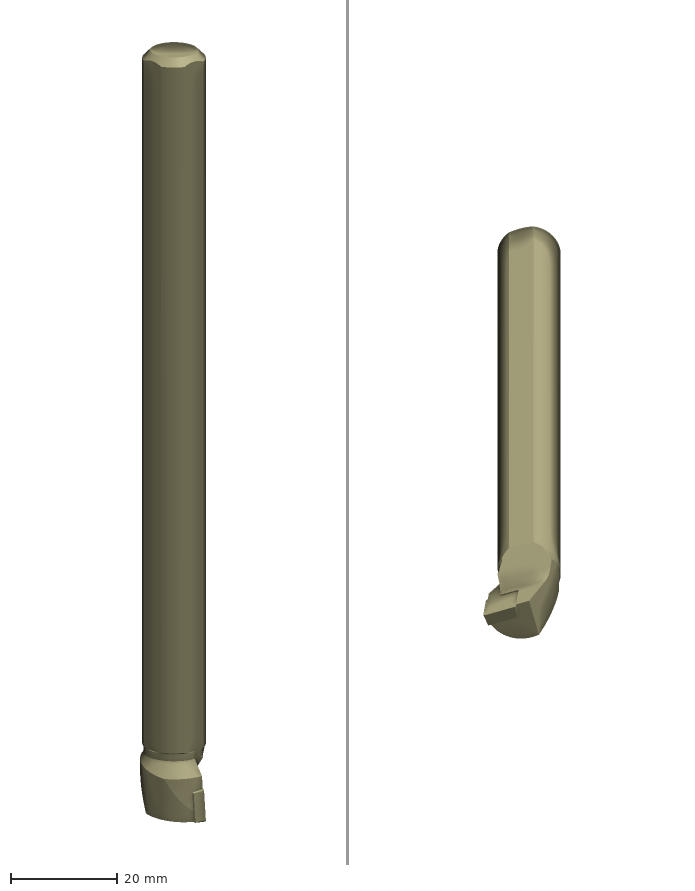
import cadquery as cq
import math

overall_length = 151.25

shank_radius = 6.0
flat_distance = 5.5
shank_bottom = 13.2
neck_radius = 5.75
top_chamfer = 1.5
bottom_chamfer = shank_radius - neck_radius

tip_reach = 8.89
inscribed_diameter = 6.35
insert_thickness = 2.38
tip_angle = 80.0
nose_radius = 0.4
relief_angle = 7.0
lead_angle = (90.0 - tip_angle) / 2
diagonal_angle = 45.0
edge_slope = math.tan(math.radians(lead_angle))

head_radius = 7.21
head_offset = head_radius - shank_radius
cone_top = 11.8
cone_bottom = 8.9
head_setback = 0.3
head_side_at_tip = tip_reach - head_setback
head_side_at_cone = head_side_at_tip - cone_bottom * edge_slope

back_top = 13.5
back_angle = 25.5
rake_height = 0.25
rake_top = 14.6
rake_fillet = 4.0
cut_size = 30.0


def make_shank():
    shank = (
        cq.Workplane("XY")
        .workplane(offset=shank_bottom)
        .circle(shank_radius)
        .extrude(overall_length - shank_bottom)
    )
    shank = shank.faces(">Z").chamfer(top_chamfer)
    shank = shank.faces("<Z").chamfer(bottom_chamfer)
    flats = cq.Workplane("XY").box(
        shank_radius + flat_distance, 2 * flat_distance, overall_length, centered=(False, True, False)
    )
    return shank.intersect(flats.translate((-shank_radius, 0, 0)))


def make_head():
    turned = (
        cq.Workplane("XZ")
        .moveTo(0, 0)
        .lineTo(head_side_at_tip, 0)
        .lineTo(head_side_at_cone, cone_bottom)
        .lineTo(neck_radius, cone_top)
        .lineTo(neck_radius, shank_bottom)
        .lineTo(0, shank_bottom)
        .close()
        .revolve(360, (0, 0, 0), (0, 1, 0))
    )
    round_head = cq.Workplane("XY").center(head_offset, 0).circle(head_radius).extrude(shank_bottom)
    return turned.intersect(round_head)


def make_back_cut():
    run = back_top * math.tan(math.radians(back_angle))
    return (
        cq.Workplane("XZ")
        .moveTo(-shank_radius, back_top)
        .lineTo(run - shank_radius, 0)
        .lineTo(-cut_size, 0)
        .lineTo(-cut_size, back_top)
        .close()
        .extrude(cut_size, both=True)
    )


def make_bottom_cut():
    rise = (tip_reach + shank_radius) * edge_slope
    return (
        cq.Workplane("XZ")
        .moveTo(tip_reach, head_setback)
        .lineTo(-shank_radius, head_setback + rise)
        .lineTo(-shank_radius, -cut_size)
        .lineTo(tip_reach, -cut_size)
        .close()
        .extrude(cut_size, both=True)
    )


def make_rake_cut():
    root = rake_top - (flat_distance - rake_height)
    cut = (
        cq.Workplane("YZ")
        .moveTo(rake_height, -cut_size)
        .lineTo(rake_height, root)
        .lineTo(rake_height + cut_size, root + cut_size)
        .lineTo(rake_height + cut_size, -cut_size)
        .close()
        .extrude(cut_size, both=True)
    )
    root_edge = cq.selectors.NearestToPointSelector((0, rake_height, root))
    return cut.edges(root_edge).fillet(rake_fillet)


def make_side_cut():
    cut = cq.Workplane("XY").box(cut_size, cut_size, shank_bottom, centered=False)
    return cut.translate((flat_distance, 0, 0))


def insert_outline():
    half_tip = math.radians(tip_angle / 2)
    inner_radius = inscribed_diameter / 2 - nose_radius
    long_half = inner_radius / math.sin(half_tip)
    short_half = inner_radius / math.cos(half_tip)
    diagonal = long_half * math.cos(math.radians(diagonal_angle))
    center_x = tip_reach - nose_radius - diagonal
    center_z = nose_radius + diagonal
    corners = [(long_half, 0), (0, short_half), (-long_half, 0), (0, -short_half)]
    return (
        cq.Workplane("XZ", origin=(center_x, 0, center_z))
        .transformed(rotate=(0, 0, -diagonal_angle))
        .polyline(corners)
        .close()
        .offset2D(nose_radius)
    )


def make_insert():
    return insert_outline().extrude(insert_thickness, taper=relief_angle)


def make_pocket_mouth():
    return insert_outline().extrude(-rake_height)


insert = make_insert()

bar = make_shank().union(make_head())
bar = bar.cut(make_back_cut()).cut(make_bottom_cut()).cut(make_rake_cut())
bar = bar.cut(make_side_cut()).cut(insert).cut(make_pocket_mouth())

result = cq.Compound.makeCompound([bar.val(), insert.val()])